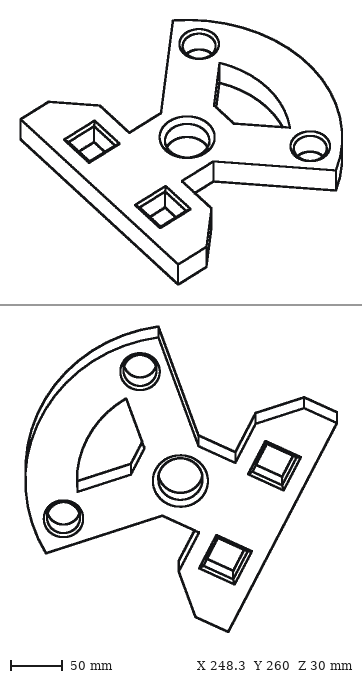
import cadquery as cq
import math

thickness = 30.0
base_half_width = 120.0
base_height = 70.5
base_corner_cut = 35.0
neck_half_width = 40.0

total_length = 260.0
sector_radius = 150.0
pivot_y = total_length - sector_radius
window_radius = 100.0
window_floor = 46.0
arm_width = 50.2

pivot_diameter = 43.0
pivot_chamfer = 5.2
hole_diameter = 32.0
hole_circle_radius = 119.5
square_side = 32.0
square_spacing = 108.2
square_y = 35.0
opening_chamfer = 3.0


def circle_meets_diagonal(radius, offset):
    """Point, relative to the pivot, where y = x + offset cuts a circle (x > 0)."""
    x = -offset / 2 + math.sqrt(radius**2 / 2 - offset**2 / 4)
    return x, x + offset


def make_plate():
    """Base, neck and sector as one outline."""
    corner_x, corner_y = circle_meets_diagonal(sector_radius, -neck_half_width)
    shoulder_x = base_half_width - base_corner_cut
    shoulder_y = base_height - base_corner_cut
    return (
        cq.Workplane("XY")
        .moveTo(-base_half_width, 0)
        .lineTo(base_half_width, 0)
        .lineTo(base_half_width, shoulder_y)
        .lineTo(shoulder_x, base_height)
        .lineTo(neck_half_width, base_height)
        .lineTo(neck_half_width, pivot_y)
        .lineTo(corner_x, pivot_y + corner_y)
        .threePointArc((0, total_length), (-corner_x, pivot_y + corner_y))
        .lineTo(-neck_half_width, pivot_y)
        .lineTo(-neck_half_width, base_height)
        .lineTo(-shoulder_x, base_height)
        .lineTo(-base_half_width, shoulder_y)
        .close()
        .extrude(thickness)
    )


def make_window():
    """Opening between the two arms, bounded by an arc around the pivot."""
    offset = arm_width * math.sqrt(2) - neck_half_width
    tip_x, tip_y = circle_meets_diagonal(window_radius, offset)
    floor_half_width = window_floor - offset
    return (
        cq.Workplane("XY", origin=(0, pivot_y, 0))
        .moveTo(-floor_half_width, window_floor)
        .lineTo(floor_half_width, window_floor)
        .lineTo(tip_x, tip_y)
        .threePointArc((0, window_radius), (-tip_x, tip_y))
        .close()
        .extrude(thickness)
    )


def add_mouths(opening, mouth):
    """Join a through opening with a tapered mouth at the bottom and its mirror at the top."""
    top_mouth = mouth.mirror("XY").translate((0, 0, thickness))
    return opening.union(mouth).union(top_mouth)


def make_round_cutter(x, y, diameter, chamfer):
    """Round through hole centred on (x, y), with 45 degree chamfers."""
    base = cq.Workplane("XY", origin=(x, y, 0))
    mouth_diameter = diameter + 2 * chamfer
    bore = base.circle(diameter / 2).extrude(thickness)
    mouth = base.circle(mouth_diameter / 2).extrude(chamfer, taper=45)
    return add_mouths(bore, mouth)


def make_square_cutter(x, y):
    """Square through hole centred on (x, y), with 45 degree chamfers."""
    base = cq.Workplane("XY", origin=(x, y, 0))
    mouth_side = square_side + 2 * opening_chamfer
    opening = base.rect(square_side, square_side).extrude(thickness)
    mouth = base.rect(mouth_side, mouth_side).extrude(opening_chamfer, taper=45)
    return add_mouths(opening, mouth)


result = make_plate().cut(make_window())
result = result.cut(make_round_cutter(0, pivot_y, pivot_diameter, pivot_chamfer))

hole_offset = hole_circle_radius / math.sqrt(2)
for side in (-1, 1):
    hole = make_round_cutter(side * hole_offset, pivot_y + hole_offset, hole_diameter, opening_chamfer)
    result = result.cut(hole)
    result = result.cut(make_square_cutter(side * square_spacing / 2, square_y))